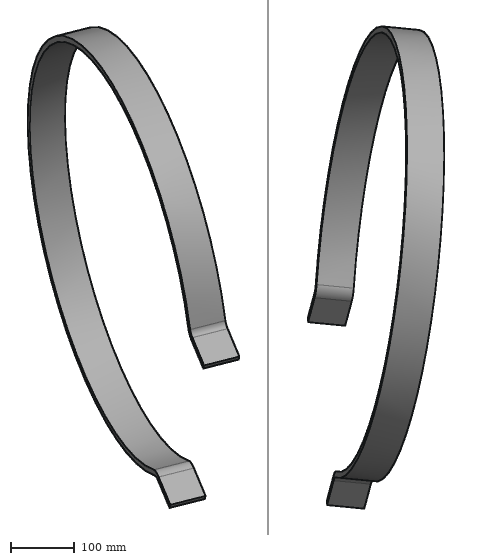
import cadquery as cq
import math

outer_diameter = 719.5
thickness = 10.0
width = 60.0
tab_outer_offset = 218.0
tab_end = 348.0
bend_radius = 15.0
axis_tilt = -20.0

outer_radius = outer_diameter / 2
inner_radius = outer_radius - thickness
tab_inner_offset = tab_outer_offset - thickness
bend_centre_v = tab_outer_offset + bend_radius
bend_centre_distance = outer_radius + bend_radius
bend_centre_angle = math.asin(bend_centre_v / bend_centre_distance)
bend_centre_u = bend_centre_distance * math.cos(bend_centre_angle)
bend_mid_angle = (bend_centre_angle - math.pi - math.pi / 2) / 2


def ring_point(radius, side):
    """Point where the ring meets the upper (+1) or lower (-1) bend."""
    return (
        radius * math.cos(bend_centre_angle),
        side * radius * math.sin(bend_centre_angle),
    )


def bend_middle(radius, side):
    """Point halfway round a bend face."""
    return (
        bend_centre_u + radius * math.cos(bend_mid_angle),
        side * (bend_centre_v + radius * math.sin(bend_mid_angle)),
    )


def band_profile():
    """Closed outline, with the symmetry axis along local X."""
    hollow = bend_radius
    full = bend_radius + thickness
    return (
        cq.Workplane("XZ")
        .moveTo(*ring_point(outer_radius, 1))
        .threePointArc((-outer_radius, 0), ring_point(outer_radius, -1))
        .threePointArc(bend_middle(hollow, -1), (bend_centre_u, -tab_outer_offset))
        .lineTo(tab_end, -tab_outer_offset)
        .lineTo(tab_end, -tab_inner_offset)
        .lineTo(bend_centre_u, -tab_inner_offset)
        .threePointArc(bend_middle(full, -1), ring_point(inner_radius, -1))
        .threePointArc((-inner_radius, 0), ring_point(inner_radius, 1))
        .threePointArc(bend_middle(full, 1), (bend_centre_u, tab_inner_offset))
        .lineTo(tab_end, tab_inner_offset)
        .lineTo(tab_end, tab_outer_offset)
        .lineTo(bend_centre_u, tab_outer_offset)
        .threePointArc(bend_middle(hollow, 1), ring_point(outer_radius, 1))
        .close()
    )


band = band_profile().extrude(width / 2, both=True)
result = band.rotate((0, 0, 0), (0, 1, 0), -axis_tilt)